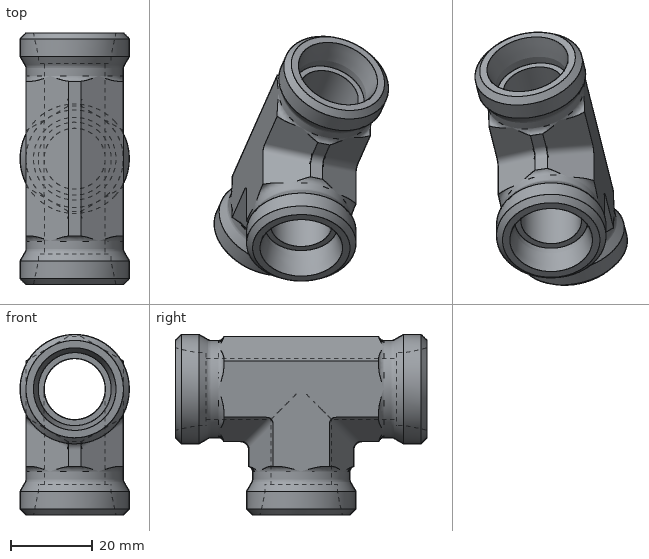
import cadquery as cq
import math

run_length = 62.0
arm_length = run_length / 2

hex_across_flats = 24.0
hex_flat_radius = hex_across_flats / 2
hex_corner_radius = hex_flat_radius / math.cos(math.radians(30))
hex_trim_radius = 12.95
hex_end_setback = 10.65
hex_end = arm_length - hex_end_setback
inner_corner_fillet = 2.0

collar_radius = 27.0 / 2
neck_radius = hex_flat_radius
end_chamfer = 1.5
collar_length = 5.8
taper_angle = 30.0
neck_fillet = 1.25
shoulder_fillet = 1.3

bore_radius = 15.0 / 2
tube_seat_radius = 18.0 / 2
tube_seat_depth = 7.5
cone_mouth_radius = 20.35 / 2
cone_half_angle = 12.0

ARM_ANGLES = (90, 180, 270)
mitre_tolerance = 0.0005


def turn_about_x(shape, angle):
    return shape.rotate((0, 0, 0), (1, 0, 0), angle)


def on_all_arms(shape):
    """Copies of a body built along +Z, one for each of the three arms."""
    return [turn_about_x(shape, angle) for angle in ARM_ANGLES]


def revolve_about_z(profile):
    """Close an outline drawn on the XZ plane and revolve it about Z."""
    return profile.close().revolve(360, (0, 0, 0), (0, 1, 0))


def hex_bar(length):
    """Hexagon bar along +Z from the origin, with the two corners at X = 0 cut flat."""
    hexagon = cq.Workplane("XY").polygon(6, 2 * hex_corner_radius).extrude(length)
    hexagon = hexagon.rotate((0, 0, 0), (0, 0, 1), 90)
    trim = cq.Workplane("XY").rect(2 * collar_radius, 2 * hex_trim_radius).extrude(length)
    return hexagon.intersect(trim)


def is_on_mitre(edge):
    """True for an edge centred on the 45 degree planes where the run and the branch meet."""
    center = edge.Center()
    return abs(abs(center.y) + center.z) < mitre_tolerance


def wrench_body():
    """Two hexagon bars joined as a tee, with the inner corners rounded."""
    run = turn_about_x(hex_bar(2 * hex_end).translate((0, 0, -hex_end)), 90)
    branch = turn_about_x(hex_bar(hex_end), 180)
    tee = run.union(branch).clean()
    inner_corners = [edge for edge in tee.edges().vals() if is_on_mitre(edge)]
    return tee.newObject(inner_corners).fillet(inner_corner_fillet)


def shoulder_cutter():
    """Ring that takes the hexagon end down to the neck with a hollow round."""
    shoulder = hex_end - shoulder_fillet
    return revolve_about_z(
        cq.Workplane("XZ")
        .moveTo(neck_radius, hex_end)
        .radiusArc((neck_radius + shoulder_fillet, shoulder), -shoulder_fillet)
        .lineTo(2 * collar_radius, shoulder)
        .lineTo(2 * collar_radius, hex_end)
    )


def spigot():
    """Neck, taper and chamfered collar of one arm."""
    collar_start = arm_length - collar_length
    taper_length = (collar_radius - neck_radius) / math.tan(math.radians(taper_angle))
    taper_start = collar_start - taper_length
    body = revolve_about_z(
        cq.Workplane("XZ")
        .moveTo(0, hex_end)
        .lineTo(neck_radius, hex_end)
        .lineTo(neck_radius, taper_start)
        .lineTo(collar_radius, collar_start)
        .lineTo(collar_radius, arm_length - end_chamfer)
        .lineTo(collar_radius - end_chamfer, arm_length)
        .lineTo(0, arm_length)
    )
    neck_edge = cq.selectors.NearestToPointSelector((0, 0, taper_start))
    return body.edges(neck_edge).fillet(neck_fillet)


def bore():
    """Flow bore, tube seat and sealing cone of one arm."""
    cone_depth = (cone_mouth_radius - tube_seat_radius) / math.tan(math.radians(cone_half_angle))
    seat = arm_length - tube_seat_depth
    return revolve_about_z(
        cq.Workplane("XZ")
        .lineTo(bore_radius, 0)
        .lineTo(bore_radius, seat)
        .lineTo(tube_seat_radius, seat)
        .lineTo(tube_seat_radius, arm_length - cone_depth)
        .lineTo(cone_mouth_radius, arm_length)
        .lineTo(0, arm_length)
    )


result = wrench_body()
for ring in on_all_arms(shoulder_cutter()):
    result = result.cut(ring)
for arm_spigot in on_all_arms(spigot()):
    result = result.union(arm_spigot)
for arm_bore in on_all_arms(bore()):
    result = result.cut(arm_bore)